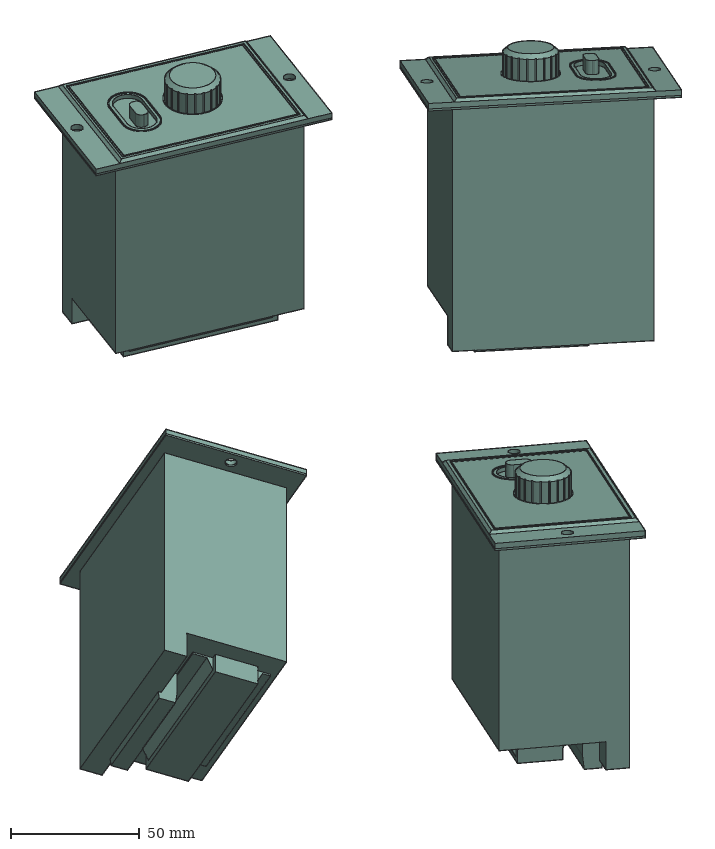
import cadquery as cq


case_length = 79.9

panel_width = 60.0
panel_length = 100.0
plate_thickness = 2.2
bezel_height = 1.2
bezel_length = case_length
bezel_slope = 45
face_z = plate_thickness + bezel_height
screw_hole_diameter = 4.7
screw_hole_offset = 45.0

frame_width = 54.8
frame_length = 75.3
frame_side_groove = 0.5
frame_end_groove = 0.8
groove_depth = 0.4

knob_y = 4.0
knob_radius = 11.0
knob_top_radius = 9.0
knob_height = 10.4
knob_bevel_height = 1.8
knob_ring_radius = 11.6
grip_groove_count = 20
grip_groove_width = 0.6
grip_groove_depth = 0.2

switch_y = -20.6
switch_rim_length = 28.9
switch_rim_width = 15.8
switch_rim_groove = 0.5
switch_slot_length = 25.3
switch_slot_width = 12.2
switch_slot_depth = 1.8
lever_x = 4.0
lever_length = 10.1
lever_width = 5.1
lever_corner_radius = 2.3
lever_height = 4.0

flange_thickness = 0.8
case_width = 52.1
case_bottom_z = -88.3
wall_thickness = 9.5
wall_drop = 11.7

terminal_left_x = -18.1
terminal_right_x = -9.7
terminal_taper = 0.7
terminal_taper_height = 5.8
terminal_drop = 14.9
terminal_front_y = -15.8
terminal_back_y = 29.6

pad_right_x = 23.5
pad_thickness = 0.8
socket_x = 8.0
socket_width = 18.1
socket_drop = 8.8
shoulder_x = 8.2
shoulder_width = 24.6
shoulder_foot_width = 17.7
shoulder_drop = 7.0
socket_length = 65.5
shoulder_length = 60.8


def block(width, length, bottom_z, top_z):
    """Box centred on the Z axis between two heights."""
    return cq.Workplane("XY", origin=(0, 0, bottom_z)).rect(width, length).extrude(top_z - bottom_z)


def stadium(length, width, bottom_z, top_z):
    """Round-ended bar along X, centred on the switch."""
    return cq.Workplane("XY", origin=(0, switch_y, bottom_z)).slot2D(length, width).extrude(top_z - bottom_z)


def screw_holes(bottom_z, top_z):
    """Cutters for the two fixing holes at the ends of the panel."""
    places = [(0, -screw_hole_offset), (0, screw_hole_offset)]
    sketch = cq.Workplane("XY", origin=(0, 0, bottom_z)).pushPoints(places)
    return sketch.circle(screw_hole_diameter / 2).extrude(top_z - bottom_z)


def make_knob():
    """Knob with a bevelled top and grip grooves around its side."""
    base_z = face_z - groove_depth
    top_z = face_z + knob_height
    outline = [
        (0, base_z),
        (knob_radius, base_z),
        (knob_radius, top_z - knob_bevel_height),
        (knob_top_radius, top_z),
        (0, top_z),
    ]
    knob = cq.Workplane("XZ").polyline(outline).close().revolve(360, (0, 0), (0, 1))
    grooves = (
        cq.Workplane("XY", origin=(0, 0, base_z))
        .polarArray(knob_radius, 0, 360, grip_groove_count)
        .rect(2 * grip_groove_depth, grip_groove_width)
        .extrude(top_z - base_z)
    )
    return knob.cut(grooves).translate((0, knob_y, 0))


def make_panel():
    """Front panel: plate, bezel, knob and slide switch."""
    groove_z = face_z - groove_depth
    panel = block(panel_width, panel_length, 0, plate_thickness)
    bezel_base = cq.Workplane("XY", origin=(0, 0, plate_thickness)).rect(panel_width, bezel_length)
    panel = panel.union(bezel_base.extrude(bezel_height, taper=bezel_slope))

    frame_inner_width = frame_width - 2 * frame_side_groove
    frame_inner_length = frame_length - 2 * frame_end_groove
    frame = block(frame_width, frame_length, groove_z, face_z)
    panel = panel.cut(frame.cut(block(frame_inner_width, frame_inner_length, groove_z, face_z)))

    ring = cq.Workplane("XY", origin=(0, knob_y, groove_z)).circle(knob_ring_radius).extrude(groove_depth)
    panel = panel.cut(ring).union(make_knob())

    rim = stadium(switch_rim_length, switch_rim_width, groove_z, face_z)
    rim_inner_length = switch_rim_length - 2 * switch_rim_groove
    rim_inner_width = switch_rim_width - 2 * switch_rim_groove
    panel = panel.cut(rim.cut(stadium(rim_inner_length, rim_inner_width, groove_z, face_z)))

    slot_floor_z = face_z - switch_slot_depth
    panel = panel.cut(stadium(switch_slot_length, switch_slot_width, slot_floor_z, face_z))
    lever = block(lever_length, lever_width, slot_floor_z, face_z + lever_height)
    lever = lever.edges("|Z").fillet(lever_corner_radius)
    panel = panel.union(lever.translate((lever_x, switch_y, 0)))
    return panel.cut(screw_holes(0, face_z))


def bottom_profile(points, front_y, back_y):
    """Outline in X and Z extruded along Y between two places."""
    sketch = cq.Workplane("XZ", origin=(0, back_y, 0)).polyline(points).close()
    return sketch.extrude(back_y - front_y)


def make_terminal_strip():
    bottom_z = case_bottom_z - terminal_drop
    taper_z = bottom_z + terminal_taper_height
    points = [
        (terminal_left_x, case_bottom_z),
        (terminal_left_x, taper_z),
        (terminal_left_x + terminal_taper, bottom_z),
        (terminal_right_x - terminal_taper, bottom_z),
        (terminal_right_x, taper_z),
        (terminal_right_x, case_bottom_z),
    ]
    return bottom_profile(points, terminal_front_y, terminal_back_y)


def make_socket():
    """Socket with recessed sloped shoulders and a flat pad around its foot."""
    shoulder_points = [
        (shoulder_x - shoulder_width / 2, case_bottom_z),
        (shoulder_x - shoulder_foot_width / 2, case_bottom_z - shoulder_drop),
        (shoulder_x + shoulder_foot_width / 2, case_bottom_z - shoulder_drop),
        (shoulder_x + shoulder_width / 2, case_bottom_z),
    ]
    shoulders = bottom_profile(shoulder_points, -shoulder_length / 2, shoulder_length / 2)
    socket = block(socket_width, socket_length, case_bottom_z - socket_drop, case_bottom_z)
    pad = block(pad_right_x - terminal_right_x, shoulder_length, case_bottom_z - pad_thickness, case_bottom_z)
    pad = pad.translate(((terminal_right_x + pad_right_x) / 2, 0, 0))
    return shoulders.union(socket.translate((socket_x, 0, 0))).union(pad)


def make_case():
    """Case with its mounting flange, bottom wall, terminal strip and socket."""
    flange = block(panel_width, panel_length, -flange_thickness, 0).cut(screw_holes(-flange_thickness, 0))
    case = flange.union(block(case_width, case_length, case_bottom_z, -flange_thickness))
    wall_x = (wall_thickness - case_width) / 2
    wall = block(wall_thickness, case_length, case_bottom_z - wall_drop, case_bottom_z)
    case = case.union(wall.translate((wall_x, 0, 0)))
    return case.union(make_terminal_strip()).union(make_socket())


panel = make_panel()
case = make_case()
result = cq.Compound.makeCompound([panel.val(), case.val()])